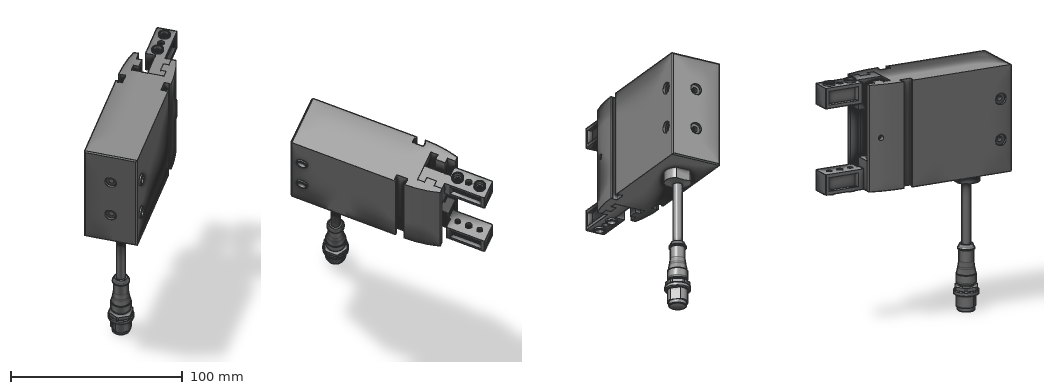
import cadquery as cq
import math


housing_width = 31.9
housing_length = 93.3
housing_height = 65.0
back_chamfer = 0.8
nose_width = 25.7
nose_length = 21.5
mid_height = housing_height / 2
half_width = housing_width / 2

slot_front = housing_length - nose_length
slot_opening = 5.5
slot_depth = 4.3
lip_thickness = 1.2
slot_undercut_front = 0.5
slot_undercut_back = 1.0
slot_corner_radius = 0.5

channel_half_width = 9.9
channel_depth = 15.5
rib_tip_x = 6.5
rib_front = housing_length - 5.0
rib_width = 6.1
rib_back = rib_front - rib_width

sleeve_diameter = 7.0
sleeve_bore = 5.2
sleeve_length = 3.0
sleeve_protrusion = 1.4
sleeve_chamfer = 0.3
seat_depth = sleeve_length - sleeve_protrusion
screw_hole_diameter = 3.2

mount_pitch = 25.0
mount_hole_y = 7.5
mount_heights = [mid_height - mount_pitch / 2, mid_height + mount_pitch / 2]
port_diameter = 3.0
port_depth = 3.0
port_y = 86.3

jaw_height = 12.5
finger_width = 12.2
finger_reach = 25.2
finger_gap = 1.0
finger_end_chamfer = 0.5
guide_height = 18.2
groove_relief = 0.5
sleeve_pitch = 14.0
sleeve_near_y = housing_length + 5.6
jaw_sleeve_ys = [sleeve_near_y, sleeve_near_y + sleeve_pitch]
dowel_hole_diameter = 4.0
dowel_hole_y = sleeve_near_y + sleeve_pitch / 2
window_length = 19.6
window_height = 8.4
window_depth = 2.5
window_end_slope = 1.0

cable_y = 21.7
cable_diameter = 5.5
gland_diameter = 16.0
gland_flat_width = 13.0
gland_rim_z = -6.5
gland_end_z = -7.8
gland_end_diameter = 7.0
plug_top_z = -45.0
hex_top_z = -70.5
hex_flat_width = 13.0
hex_round_diameter = 14.5
strain_relief_profile = [
    (7.6, plug_top_z),
    (9.1, -46.7),
    (10.2, -47.5),
    (10.2, -48.0),
    (8.8, -48.5),
    (8.8, -55.5),
    (9.7, -58.5),
    (10.0, -59.6),
    (11.4, -63.0),
    (12.0, -63.4),
    (12.0, -67.8),
    (11.4, -68.9),
    (8.4, -68.9),
    (8.4, hex_top_z),
]
collar_diameter = 15.0
collar_top_z = -72.7
collar_chamfer = 0.6
barrel_top_z = -75.7
barrel_diameter = 12.0
barrel_end_z = -83.0
barrel_flat_distance = 5.2
tip_diameter = 10.5
tip_end_z = -85.5
tip_chamfer = 0.5


def box(x0, x1, y0, y1, z0, z1):
    """Box between two opposite corners."""
    return cq.Workplane("XY").box(x1 - x0, y1 - y0, z1 - z0, centered=False).translate((x0, y0, z0))


def rod(start, direction, diameter, length):
    """Cylinder from a start point along a direction."""
    solid = cq.Solid.makeCylinder(diameter / 2, length, cq.Vector(*start), cq.Vector(*direction))
    return cq.Workplane(solid)


def sleeve(surface_point, outward):
    """Centring sleeve that sits in its seat and stands out of the surface."""
    seat_floor = cq.Workplane(cq.Plane(origin=surface_point, normal=outward)).workplane(offset=-seat_depth)
    outer_end = cq.selectors.DirectionMinMaxSelector(cq.Vector(*outward), True)
    bore = seat_floor.circle(sleeve_bore / 2).extrude(sleeve_length)
    blank = seat_floor.circle(sleeve_diameter / 2).extrude(sleeve_length)
    return blank.faces(outer_end).chamfer(sleeve_chamfer).cut(bore)


def mirrored(shape):
    """A shape together with its mirror image across the centre plane."""
    return shape.union(shape.mirror("YZ"))



def nose_point(fraction):
    """Point on the +X nose arc, tangent to the side wall; fraction runs from 0 to 1."""
    narrowing = (housing_width - nose_width) / 2
    radius = (nose_length**2 + narrowing**2) / (2 * narrowing)
    along = fraction * nose_length
    return (half_width - radius + math.sqrt(radius**2 - along**2), slot_front + along)


def housing_block():
    """Block with chamfered back edges and curved nose flanks."""
    mid_x, mid_y = nose_point(0.5)
    return (
        cq.Workplane("XY")
        .moveTo(-half_width, 0).lineTo(half_width, 0).lineTo(half_width, slot_front)
        .threePointArc((mid_x, mid_y), nose_point(1)).lineTo(-nose_width / 2, housing_length)
        .threePointArc((-mid_x, mid_y), (-half_width, slot_front)).close()
        .extrude(housing_height)
        .faces("<Y").chamfer(back_chamfer)
    )


def side_slots():
    """T-slots over the full height of both sides."""
    slot_back = slot_front - slot_opening
    undercut_x = half_width - lip_thickness
    opening = box(undercut_x, half_width, slot_back, slot_front, 0, housing_height)
    undercut = box(
        half_width - slot_depth, undercut_x,
        slot_back - slot_undercut_back, slot_front + slot_undercut_front, 0, housing_height,
    ).edges("|Z and <X").fillet(slot_corner_radius)
    return mirrored(opening.union(undercut))


def guide_half(rib_x, z0, z1):
    """The +X half of the channel outline, open at the front, between two heights."""
    half = box(0, channel_half_width, housing_length - channel_depth, housing_length, z0, z1)
    return half.cut(box(rib_x, channel_half_width, rib_back, rib_front, z0, z1))


def sleeve_hole(surface_point, inward, length):
    """Screw hole with a sleeve seat at its mouth."""
    seat = rod(surface_point, inward, sleeve_diameter, seat_depth)
    return seat.union(rod(surface_point, inward, screw_hole_diameter, length))


def make_housing():
    body = housing_block().cut(side_slots())
    body = body.cut(mirrored(guide_half(rib_tip_x, 0, housing_height)))
    for z in mount_heights:
        body = body.cut(sleeve_hole((-half_width, mount_hole_y, z), (1, 0, 0), housing_width))
        body = body.cut(sleeve_hole((half_width, mount_hole_y, z), (-1, 0, 0), housing_width))
        body = body.cut(sleeve_hole((0, 0, z), (0, 1, 0), mount_hole_y))
    nose_side = nose_point((port_y - slot_front) / nose_length)[0]
    port_start = (-half_width, port_y, mid_height)
    port_length = half_width - nose_side + port_depth
    body = body.cut(rod(port_start, (1, 0, 0), port_diameter, port_length))
    return body.union(make_gland()).union(make_plug())


def turned(profile):
    """Solid of revolution about the cable axis from (diameter, z) pairs, top to bottom."""
    points = [(d / 2, z) for d, z in profile]
    outline = [(0, points[0][1])] + points + [(0, points[-1][1])]
    solid = cq.Workplane("XZ").polyline(outline).close().revolve(360, (0, 0, 0), (0, 1, 0))
    return solid.translate((0, cable_y, 0))


def make_gland():
    """Round cable gland with flats at front and back, and the cable below it."""
    gland = turned([
        (gland_diameter, 0),
        (gland_diameter, gland_rim_z),
        (gland_end_diameter, gland_end_z),
    ])
    flats = box(
        -gland_diameter, gland_diameter,
        cable_y - gland_flat_width / 2, cable_y + gland_flat_width / 2, gland_end_z, 0,
    )
    cable = turned([(cable_diameter, 0), (cable_diameter, plug_top_z)])
    return gland.intersect(flats).union(cable)


def make_plug():
    """Plug: strain relief, hexagon, collar and threaded barrel."""
    strain_relief = turned(strain_relief_profile)
    hexagon = (
        cq.Workplane("XY").workplane(offset=collar_top_z)
        .polygon(6, hex_flat_width / math.cos(math.pi / 6))
        .extrude(hex_top_z - collar_top_z)
        .rotate((0, 0, 0), (0, 0, 1), 30)
        .translate((0, cable_y, 0))
        .intersect(turned([(hex_round_diameter, hex_top_z), (hex_round_diameter, collar_top_z)]))
    )
    collar_edge = collar_diameter - 2 * collar_chamfer
    collar = turned([
        (collar_edge, collar_top_z),
        (collar_diameter, collar_top_z - collar_chamfer),
        (collar_diameter, barrel_top_z + collar_chamfer),
        (collar_edge, barrel_top_z),
    ])
    barrel = turned([(barrel_diameter, barrel_top_z), (barrel_diameter, barrel_end_z)])
    flat_side = (
        box(-barrel_diameter, -barrel_flat_distance, -barrel_diameter, barrel_diameter,
            barrel_end_z, barrel_top_z)
        .rotate((0, 0, 0), (0, 0, 1), 45)
        .translate((0, cable_y, 0))
    )
    tip = turned([
        (tip_diameter, barrel_end_z),
        (tip_diameter, tip_end_z + tip_chamfer),
        (tip_diameter - 2 * tip_chamfer, tip_end_z),
    ])
    return strain_relief.union(hexagon).union(collar).union(barrel.cut(flat_side)).union(tip)



def finger_windows(finger_start, finger_end, z_mid):
    """Shallow windows with sloping ends on both sides of the finger."""
    outer_x = finger_width / 2
    floor_x = outer_x - window_depth
    mid_y = (finger_start + finger_end) / 2
    half_mouth = window_length / 2
    half_floor = half_mouth - window_end_slope
    window = (
        cq.Workplane("XY").workplane(offset=z_mid - window_height / 2)
        .polyline([
            (outer_x, mid_y - half_mouth),
            (outer_x, mid_y + half_mouth),
            (floor_x, mid_y + half_floor),
            (floor_x, mid_y - half_floor),
        ]).close().extrude(window_height)
    )
    return mirrored(window)


def make_upper_jaw():
    z0 = housing_height - jaw_height
    z1 = housing_height
    half_finger = finger_width / 2
    finger_start = housing_length + finger_gap
    finger_end = housing_length + finger_reach
    finger = box(-half_finger, half_finger, finger_start, finger_end, z0, z1)
    finger = finger.edges("|Z and >Y").chamfer(finger_end_chamfer)
    root = box(0, half_finger, housing_length, finger_start, z0, z1)
    outer_guide = guide_half(rib_tip_x, z0, z1)
    inner_guide = guide_half(rib_tip_x - groove_relief, z1 - guide_height, z0)
    guide = outer_guide.union(inner_guide)
    jaw = guide.union(root).union(finger)
    jaw = jaw.cut(finger_windows(finger_start, finger_end, (z0 + z1) / 2))
    for y in jaw_sleeve_ys:
        jaw = jaw.cut(sleeve_hole((0, y, z1), (0, 0, -1), jaw_height))
    return jaw.cut(rod((0, dowel_hole_y, z1), (0, 0, -1), dowel_hole_diameter, jaw_height))


def make_jaw(angle):
    """A jaw turned about the gripper's long axis: 0 for the upper one, 180 for the lower one."""
    return make_upper_jaw().rotate((0, 0, mid_height), (0, 1, mid_height), angle)



housing = make_housing()
jaws = [make_jaw(angle) for angle in (0, 180)]
jaw_sleeves = []
for y in jaw_sleeve_ys:
    jaw_sleeves.append(sleeve((0, y, housing_height), (0, 0, 1)))
    jaw_sleeves.append(sleeve((0, y, 0), (0, 0, -1)))
side_sleeves = [sleeve((half_width, mount_hole_y, z), (1, 0, 0)) for z in mount_heights]

bodies = [housing] + jaws + jaw_sleeves + side_sleeves
result = cq.Compound.makeCompound([body.val() for body in bodies])